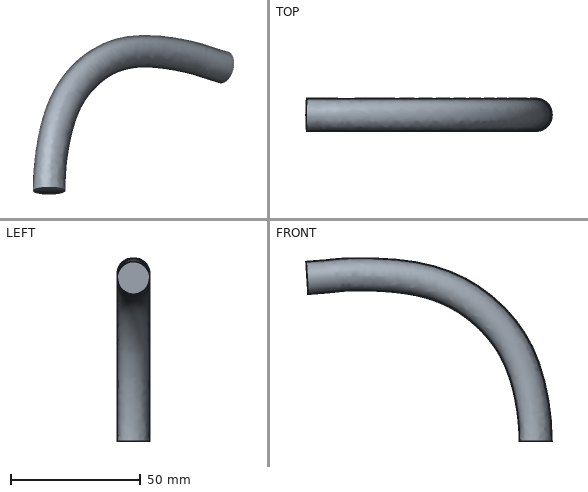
import cadquery as cq
import math

rod_diameter = 12.7
overall_length = 95.3
upper_end_height = 63.35
upper_end_slope = 3.5

rod_radius = rod_diameter / 2
slope_angle = math.radians(upper_end_slope)
upper_end = (rod_radius * math.sin(slope_angle), upper_end_height)
lower_end = (overall_length - rod_radius, 0.0)
bend_points = [(87.3, 17.05), (80.4, 36.8), (59.7, 57.0), (31.4, 64.4), (13.3, 64.5)]

lower_end_direction = (0.0, 1.0)
upper_end_direction = (-math.cos(slope_angle), -math.sin(slope_angle))


def bent_rod():
    """Sweep the round section along the centreline, from lower to upper end."""
    centreline = cq.Workplane("XZ").spline(
        [lower_end, *bend_points, upper_end],
        tangents=[lower_end_direction, upper_end_direction],
    )
    section = cq.Workplane("XY").center(lower_end[0], lower_end[1]).circle(rod_radius)
    return section.sweep(centreline)


result = bent_rod()